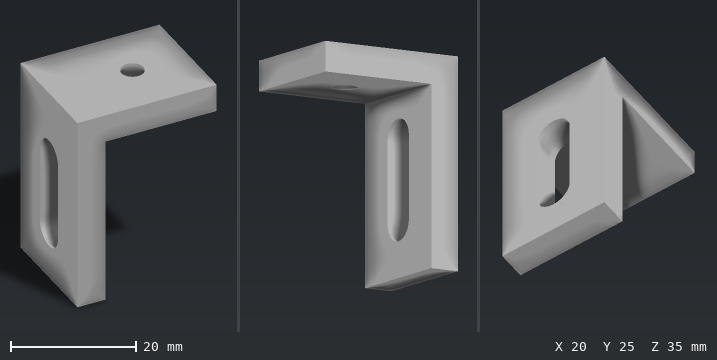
import cadquery as cq

width = 20.0
depth = 25.0
height = 35.0
thickness = 5.0

slot_width = 6.4
slot_length = 20.0
slot_bottom = 6.0

hole_diameter = 4.0
hole_from_front = 15.0


def angle_body():
    """L-shaped bracket: upright leg at the front, horizontal leg on top."""
    upright = cq.Workplane("XY").box(width, thickness, height, centered=(True, False, False))
    top_leg = (
        cq.Workplane("XY")
        .workplane(offset=height - thickness)
        .box(width, depth, thickness, centered=(True, False, False))
    )
    return upright.union(top_leg)


def slot_cutter():
    """Round-ended slot running along Z, cut through the upright leg."""
    slot_center_z = slot_bottom + slot_length / 2
    return (
        cq.Workplane("XZ")
        .center(0, slot_center_z)
        .slot2D(slot_length, slot_width, 90)
        .extrude(-thickness)
    )


def hole_cutter():
    """Vertical hole through the horizontal leg."""
    return (
        cq.Workplane("XY")
        .workplane(offset=height - thickness)
        .center(0, hole_from_front)
        .circle(hole_diameter / 2)
        .extrude(thickness)
    )


result = angle_body().cut(slot_cutter()).cut(hole_cutter())